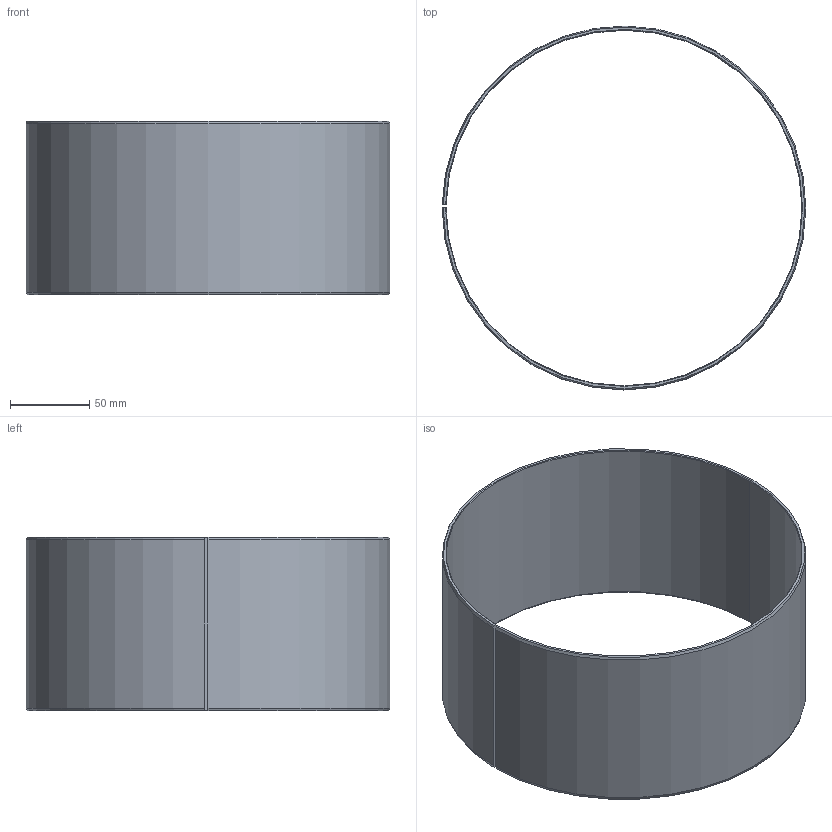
import cadquery as cq
import math

outer_diameter = 230.0
wall_thickness = 2.5
height = 110.0
slit_width = 2.0

outer_bevel_depth = 0.65
outer_bevel_slope = 70.0
inner_bevel_depth = 0.35
inner_bevel_slope = 60.0

outer_radius = outer_diameter / 2
inner_radius = outer_radius - wall_thickness
rim_outer_radius = outer_radius - outer_bevel_depth
rim_inner_radius = inner_radius + inner_bevel_depth
outer_bevel_height = outer_bevel_depth * math.tan(math.radians(outer_bevel_slope))
inner_bevel_height = inner_bevel_depth * math.tan(math.radians(inner_bevel_slope))


def bevelled_ring():
    """Thin ring about Z, standing on Z = 0, bevelled outside and inside at both rims."""
    wall_section = [
        (rim_inner_radius, 0),
        (rim_outer_radius, 0),
        (outer_radius, outer_bevel_height),
        (outer_radius, height - outer_bevel_height),
        (rim_outer_radius, height),
        (rim_inner_radius, height),
        (inner_radius, height - inner_bevel_height),
        (inner_radius, inner_bevel_height),
    ]
    return cq.Workplane("XZ").polyline(wall_section).close().revolve(360, (0, 0), (0, 1))


def slit_cutter():
    """Full-height block parting the wall at -X, with one side of the slit on the XZ plane."""
    block = cq.Workplane("XY").box(outer_radius, slit_width, height, centered=False)
    return block.translate((-outer_radius, 0, 0))


result = bevelled_ring().cut(slit_cutter())